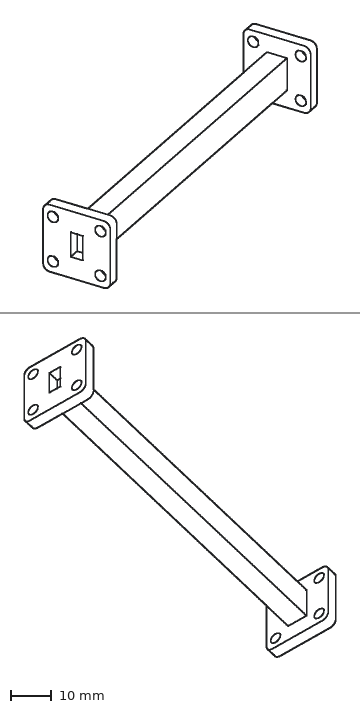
import cadquery as cq

total_length = 100.0
flange_side = 19.1
flange_thickness = 3.1
corner_radius = 1.9
bolt_spacing_x = 13.5
bolt_spacing_z = 12.7
bolt_hole_diameter = 3.0
bar_width = 5.7
bar_height = 9.2
window_width = 3.4
window_height = 7.0

bar_length = total_length - 2 * flange_thickness


def make_flange(start_y):
    """Rounded square plate from start_y towards +Y, with bolt holes and a window."""
    plate = (
        cq.Workplane("XY")
        .box(flange_side, flange_thickness, flange_side)
        .edges("|Y")
        .fillet(corner_radius)
    )
    bolt_holes = (
        cq.Workplane("XZ")
        .rarray(bolt_spacing_x, bolt_spacing_z, 2, 2)
        .circle(bolt_hole_diameter / 2)
        .extrude(flange_thickness, both=True)
    )
    window = cq.Workplane("XY").box(window_width, flange_thickness, window_height)
    flange = plate.cut(bolt_holes).cut(window)
    return flange.translate((0, start_y + flange_thickness / 2, 0))


def make_bar():
    """Solid rectangular bar that closes the inner ends of both flange windows."""
    return cq.Workplane("XY").box(bar_width, bar_length, bar_height)


bar = make_bar()
flanges = [make_flange(start_y) for start_y in (-total_length / 2, bar_length / 2)]

result = cq.Compound.makeCompound([bar.val(), *[flange.val() for flange in flanges]])